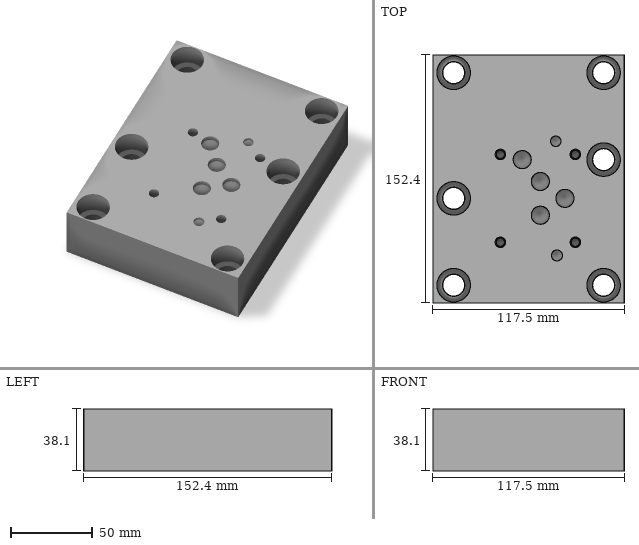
import cadquery as cq
import math

width = 117.5
length = 152.4
height = 38.1

mount_diameter = 13.4
counterbore_diameter = 20.5
counterbore_depth = 15.2
mount_x = 46.0
mount_corner_y = 65.2
mount_middle_y = 11.9
mount_points = [(side * mount_x, end * mount_corner_y) for side in (-1, 1) for end in (-1, 1)]
mount_points += [(-mount_x, -mount_middle_y), (mount_x, mount_middle_y)]

pattern_x = 5.6
pattern_y = -11.9

thread_diameter = 6.4
tap_drill_diameter = 5.0
thread_depth = 13.7
tap_drill_depth = 16.8
bolt_pitch_x = 46.0
bolt_pitch_y = 54.0
bolt_points = [
    (side * bolt_pitch_x / 2, end * bolt_pitch_y / 2) for side in (-1, 1) for end in (-1, 1)
]

port_diameter = 11.1
port_depth = 3.2
pressure_port = (16.6, 0)
work_port_x = 1.5
work_port_y = 10.4
tank_port = (-9.6, 23.8)
port_points = [pressure_port, (work_port_x, work_port_y), (work_port_x, -work_port_y), tank_port]

upper_pilot_diameter = 6.4
lower_pilot_diameter = 6.7
pilot_depth = 1.8
upper_pilot = (11.0, 35)
lower_pilot = (11.7, -35)

drill_point_angle = 120


def cylinder_down(diameter, depth, top_z):
    """Cylinder on the Z axis, hanging down from top_z."""
    return cq.Workplane("XY", origin=(0, 0, top_z)).circle(diameter / 2).extrude(-depth)


def drill(diameter, depth):
    """Blind drilled hole on the Z axis with a conical bottom below its straight depth."""
    radius = diameter / 2
    floor_z = height - depth
    point_height = radius / math.tan(math.radians(drill_point_angle / 2))
    return (
        cq.Workplane("XZ")
        .moveTo(0, height)
        .lineTo(radius, height)
        .lineTo(radius, floor_z)
        .lineTo(0, floor_z - point_height)
        .close()
        .revolve(360, (0, 0, 0), (0, 1, 0))
    )


def cut_at(body, cutter, points):
    """Cut a copy of the cutter at each point."""
    for x, y in points:
        body = body.cut(cutter.translate((x, y, 0)))
    return body


def cut_in_pattern(body, cutter, points):
    """Cut a copy of the cutter at each point of the valve pattern."""
    return cut_at(body, cutter, [(pattern_x + x, pattern_y + y) for x, y in points])


block = cq.Workplane("XY").box(width, length, height, centered=(True, True, False))

mounting_hole = cylinder_down(mount_diameter, height, height).union(
    cylinder_down(counterbore_diameter, counterbore_depth, height)
)
block = cut_at(block, mounting_hole, mount_points)

tapped_hole = drill(tap_drill_diameter, tap_drill_depth).union(
    cylinder_down(thread_diameter, thread_depth, height)
)
block = cut_in_pattern(block, tapped_hole, bolt_points)

block = cut_in_pattern(block, drill(port_diameter, port_depth), port_points)
block = cut_in_pattern(block, drill(upper_pilot_diameter, pilot_depth), [upper_pilot])
block = cut_in_pattern(block, drill(lower_pilot_diameter, pilot_depth), [lower_pilot])

result = block